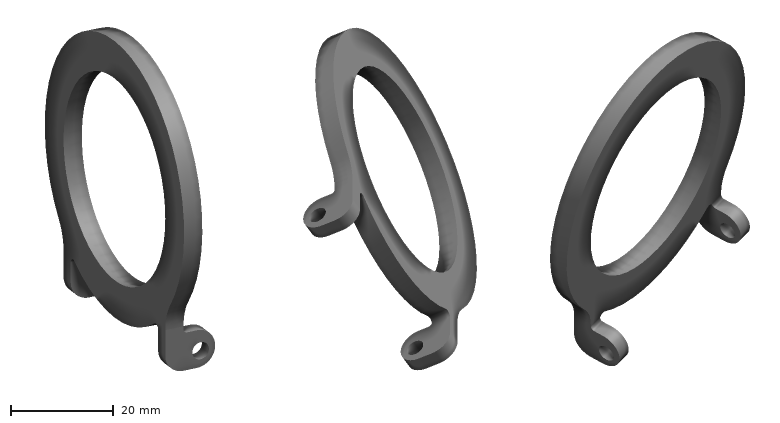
import cadquery as cq
import math

total_height = 62.7
ring_radius = 29.5
bore_radius = 21.5
plate_thickness = 4.0
total_depth = 11.0

leg_width = 3.0
leg_outer_x = bore_radius
leg_inner_x = leg_outer_x - leg_width
leg_bottom = ring_radius - total_height
outer_blend_radius = 10.0
inner_blend_radius = 1.0

lug_radius = 4.0
lug_top = leg_bottom + 2 * lug_radius
lug_root_fillet = 0.8
pin_hole_diameter = 3.65
pin_hole_from_back = 3.2
pin_hole_from_bottom = 3.5


def ring():
    """Flat ring with its front face on the plane Y = 0."""
    return (
        cq.Workplane("XZ")
        .circle(ring_radius)
        .circle(bore_radius)
        .extrude(-plate_thickness)
    )


def blend_points(side_x, blend_x, radius):
    """Ring tangent point, arc midpoint and leg tangent point of a blend.

    The blend arc touches the outside of the ring and the leg side at side_x.
    """
    center_distance = ring_radius + radius
    blend_z = -math.sqrt(center_distance**2 - blend_x**2)
    ratio = ring_radius / center_distance
    ring_point = (blend_x * ratio, blend_z * ratio)
    leg_point = (side_x, blend_z)
    chord_x = (ring_point[0] + leg_point[0]) / 2 - blend_x
    chord_z = (ring_point[1] + leg_point[1]) / 2 - blend_z
    stretch = radius / math.hypot(chord_x, chord_z)
    middle = (blend_x + chord_x * stretch, blend_z + chord_z * stretch)
    return ring_point, middle, leg_point


def leg_plate():
    """Right-hand leg, blended into the ring on both sides."""
    outer_ring, outer_middle, outer_leg = blend_points(
        leg_outer_x, leg_outer_x + outer_blend_radius, outer_blend_radius
    )
    inner_ring, inner_middle, inner_leg = blend_points(
        leg_inner_x, leg_inner_x - inner_blend_radius, inner_blend_radius
    )
    root_radius = (ring_radius + bore_radius) / 2
    root_ratio = root_radius / ring_radius
    outer_root = (outer_ring[0] * root_ratio, outer_ring[1] * root_ratio)
    inner_root = (inner_ring[0] * root_ratio, inner_ring[1] * root_ratio)
    root_x = (outer_root[0] + inner_root[0]) / 2
    root_middle = (root_x, -math.sqrt(root_radius**2 - root_x**2))
    return (
        cq.Workplane("XZ")
        .moveTo(*outer_ring)
        .threePointArc(outer_middle, outer_leg)
        .lineTo(leg_outer_x, leg_bottom)
        .lineTo(leg_inner_x, leg_bottom)
        .lineTo(*inner_leg)
        .threePointArc(inner_middle, inner_ring)
        .lineTo(*inner_root)
        .threePointArc(root_middle, outer_root)
        .close()
        .extrude(-plate_thickness)
    )


def lug():
    """Lug reaching behind the plate, with a full-round back end."""
    lug_mid_z = leg_bottom + lug_radius
    round_start_y = total_depth - lug_radius
    fillet_y = plate_thickness + lug_root_fillet
    fillet_z = lug_top + lug_root_fillet
    fillet_offset = lug_root_fillet * math.sqrt(0.5)
    return (
        cq.Workplane("YZ", origin=(leg_inner_x, 0, 0))
        .moveTo(0, leg_bottom)
        .lineTo(round_start_y, leg_bottom)
        .threePointArc((total_depth, lug_mid_z), (round_start_y, lug_top))
        .lineTo(fillet_y, lug_top)
        .threePointArc(
            (fillet_y - fillet_offset, fillet_z - fillet_offset),
            (plate_thickness, fillet_z),
        )
        .lineTo(0, fillet_z)
        .close()
        .extrude(leg_width)
    )


def front_corner_cutter():
    """Waste outside the rounded lower front edge of a leg."""
    corner_z = leg_bottom + lug_radius
    diagonal = lug_radius * math.sqrt(0.5)
    return (
        cq.Workplane("YZ", origin=(leg_inner_x, 0, 0))
        .moveTo(0, leg_bottom)
        .lineTo(lug_radius, leg_bottom)
        .threePointArc((lug_radius - diagonal, corner_z - diagonal), (0, corner_z))
        .close()
        .extrude(leg_width)
    )


def pin_hole():
    """Cylinder that cuts the hinge pin hole through a lug."""
    return (
        cq.Workplane("YZ", origin=(leg_inner_x, 0, 0))
        .center(total_depth - pin_hole_from_back, leg_bottom + pin_hole_from_bottom)
        .circle(pin_hole_diameter / 2)
        .extrude(leg_width)
    )


right_leg = leg_plate().union(lug()).cut(front_corner_cutter()).cut(pin_hole())
left_leg = right_leg.mirror("YZ")
result = ring().union(right_leg).union(left_leg).clean()